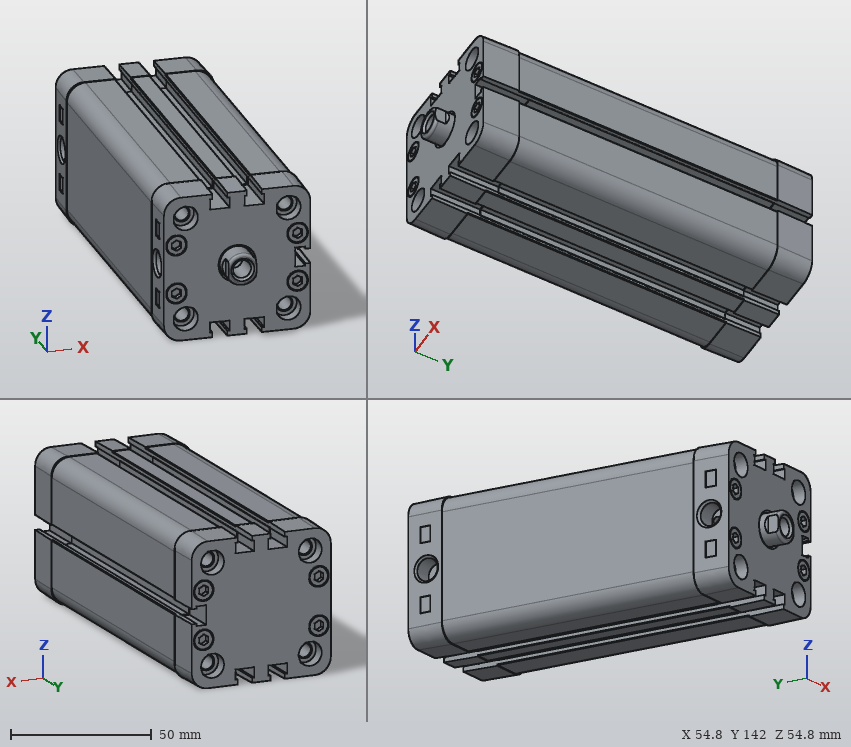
import cadquery as cq
import math

housing_length = 135.0
rod_reach = 7.0
front_cap_length = 14.6
rear_cap_length = 14.3

cap_joint_width = 54.8
cap_end_width = 54.2
cap_end_corner_radius = 6.2
body_width = 54.2
body_corner_radius = 6.8

slot_offset = 6.4
slot_mouth_width = 5.5
slot_neck_level = 25.3
body_slot_width = 6.4
body_slot_floor = 21.9
cap_slot_width = 7.2
cap_slot_floor = 21.5
front_slot_length = 20.2
body_lip_chamfer = 0.3

mount_offset = 19.0
mount_hole_diameter = 5.3
mount_bore_diameter = 9.0
mount_bore_depth = 5.0
mount_seat_diameter = 6.0
mount_seat_depth = 0.4

screw_x = 22.5
screw_z = 9.1
screw_recess_diameter = 7.7
screw_head_diameter = 7.1
screw_gap_depth = 0.7
socket_corner_diameter = 4.0
socket_depth = 2.1
socket_turn = 30

port_to_joint = 6.7
port_mouth_diameter = 10.5
port_diameter = 8.5
port_depth = 8.5
air_hole_diameter = 3.0
air_hole_to_joint = 4.5
air_hole_depth = 5.7

label_to_joint = 7.1
label_z = 13.0
label_length = 4.3
label_height = 6.0
label_floor = 26.8

rod_diameter = 12.0
rod_edge_radius = 1.1
rod_flat_width = 10.2
rod_shoulder_length = 2.7
guide_bore_diameter = 12.5
guide_mouth_diameter = 13.9
guide_depth = 4.3
thread_mouth_diameter = 8.5
thread_diameter = 6.7
thread_depth = 11.4
thread_tip_angle = 118

body_length = housing_length - front_cap_length - rear_cap_length
draft = (cap_joint_width - cap_end_width) / 2
rod_end = -rod_reach


def square_prism(width, radius, start, length, taper=0):
    """Rounded square prism along +Y; a negative taper widens it."""
    plane = cq.Workplane("XZ", origin=(0, start, 0))
    sketch = cq.Sketch().rect(width, width).vertices().fillet(radius)
    return plane.placeSketch(sketch).extrude(-length, taper=taper)


def disc(diameter, start, length, x=0, z=0):
    """Cylinder parallel to Y."""
    return cq.Workplane("XZ", origin=(x, start, z)).circle(diameter / 2).extrude(-length)


def turned(profile):
    """Solid of revolution about Y from (radius, y) points."""
    return cq.Workplane("XY").polyline(profile).close().revolve(360, (0, 0, 0), (0, 1, 0))


def cone(start_diameter, end_diameter, length):
    """Cone frustum along +Y from the origin."""
    profile = [(0, 0), (start_diameter / 2, 0), (end_diameter / 2, length), (0, length)]
    return turned(profile)


def cap(length):
    """End cap with its outer face at y = 0, widening towards the joint."""
    taper = -math.degrees(math.atan2(draft, length))
    return square_prism(cap_end_width, cap_end_corner_radius, 0, length, taper)


def to_rear(shape):
    """Turn a front-end feature into the matching rear-end feature."""
    return shape.mirror("XZ").translate((0, housing_length, 0))


def slot(width, floor, start, length):
    """T-slot opening upwards, centred on x = 0."""
    outer = cap_joint_width
    half = width / 2
    mouth = slot_mouth_width / 2
    points = [
        (-half, floor),
        (half, floor),
        (half, slot_neck_level),
        (mouth, slot_neck_level),
        (mouth, outer),
        (-mouth, outer),
        (-mouth, slot_neck_level),
        (-half, slot_neck_level),
    ]
    return cq.Workplane("XZ", origin=(0, start, 0)).polyline(points).close().extrude(-length)


def lip_chamfers():
    """Wedge that bevels both lips of a slot along the body."""
    level = body_width / 2
    mouth = slot_mouth_width / 2
    points = [
        (-mouth, level - body_lip_chamfer),
        (mouth, level - body_lip_chamfer),
        (mouth + body_lip_chamfer, level),
        (-mouth - body_lip_chamfer, level),
    ]
    plane = cq.Workplane("XZ", origin=(0, front_cap_length, 0))
    return plane.polyline(points).close().extrude(-body_length)


def stepped_slot():
    """Full-length T-slot, enlarged at both ends."""
    narrow = slot(body_slot_width, body_slot_floor, 0, housing_length)
    front = slot(cap_slot_width, cap_slot_floor, 0, front_slot_length)
    rear = slot(cap_slot_width, cap_slot_floor, housing_length - rear_cap_length, rear_cap_length)
    return narrow.union(front).union(rear).union(lip_chamfers())


def end_holes():
    """Mounting holes and screw recesses of one cap."""
    seat = cone(mount_seat_diameter, mount_hole_diameter, mount_seat_depth)
    cuts = cq.Workplane("XY")
    for x_side in (-1, 1):
        for z_side in (-1, 1):
            x, z = x_side * mount_offset, z_side * mount_offset
            cuts = cuts.add(disc(mount_bore_diameter, 0, mount_bore_depth, x, z))
            cuts = cuts.add(seat.translate((x, mount_bore_depth, z)))
            x, z = x_side * screw_x, z_side * screw_z
            gap = disc(screw_recess_diameter, 0, screw_gap_depth, x, z)
            gap = gap.cut(disc(screw_head_diameter, 0, screw_gap_depth, x, z))
            socket = cq.Workplane("XZ").polygon(6, socket_corner_diameter).extrude(-socket_depth)
            socket = socket.rotate((0, 0, 0), (0, 1, 0), socket_turn).translate((x, 0, z))
            cuts = cuts.add(gap).add(socket)
    return cuts.combine()


def port(cap_length):
    """Supply port of one cap."""
    side = -cap_joint_width / 2
    profile = [
        (side, 0),
        (side, port_mouth_diameter / 2),
        (side + (port_mouth_diameter - port_diameter) / 2, port_diameter / 2),
        (side + port_depth, port_diameter / 2),
        (side + port_depth, 0),
    ]
    bore = cq.Workplane("XY").polyline(profile).close().revolve(360, (0, 0, 0), (1, 0, 0))
    air_hole = cq.Workplane("YZ", origin=(side, cap_length - air_hole_to_joint, 0))
    air_hole = air_hole.circle(air_hole_diameter / 2).extrude(port_depth + air_hole_depth)
    return bore.translate((0, cap_length - port_to_joint, 0)).union(air_hole)


def labels(cap_length):
    """Shallow label recesses of one cap."""
    plane = cq.Workplane("YZ", origin=(-label_floor, cap_length - label_to_joint, 0))
    plane = plane.pushPoints([(0, -label_z), (0, label_z)])
    return plane.rect(label_length, label_height).extrude(label_floor - cap_joint_width / 2)


def rod():
    """Piston rod end with wrench flats, and the hole to cut into it."""
    length = rod_reach + guide_depth
    bar = disc(rod_diameter, rod_end, length).faces("<Y").edges().fillet(rod_edge_radius)
    flat = rod_flat_width / 2
    runout = rod_diameter / 2 - flat
    shoulder = -rod_shoulder_length
    wedge = [
        (flat, rod_end),
        (flat, shoulder),
        (flat + 2 * runout, shoulder + 2 * runout),
        (flat + 2 * runout, rod_end),
    ]
    flat_cut = cq.Workplane("XY").polyline(wedge).close().extrude(rod_diameter / 2, both=True)
    bar = bar.cut(flat_cut).cut(flat_cut.mirror("YZ"))
    mouth_depth = (thread_mouth_diameter - thread_diameter) / 2
    tip = thread_diameter / 2 / math.tan(math.radians(thread_tip_angle / 2))
    hole_profile = [
        (0, 0),
        (thread_mouth_diameter / 2, 0),
        (thread_diameter / 2, mouth_depth),
        (thread_diameter / 2, thread_depth),
        (0, thread_depth + tip),
    ]
    return bar, turned(hole_profile).translate((0, rod_end, 0))


housing = square_prism(body_width, body_corner_radius, front_cap_length, body_length)
housing = housing.union(cap(front_cap_length)).union(to_rear(cap(rear_cap_length)))

t_slot = stepped_slot()
for offset in (-slot_offset, slot_offset):
    top_slot = t_slot.translate((offset, 0, 0))
    housing = housing.cut(top_slot).cut(top_slot.mirror("XY"))
housing = housing.cut(t_slot.rotate((0, 0, 0), (0, 1, 0), 90))

for make_feature in (port, labels):
    housing = housing.cut(make_feature(front_cap_length))
    housing = housing.cut(to_rear(make_feature(rear_cap_length)))
front_holes = end_holes()
housing = housing.cut(front_holes).cut(to_rear(front_holes))
for x in (-mount_offset, mount_offset):
    for z in (-mount_offset, mount_offset):
        housing = housing.cut(disc(mount_hole_diameter, 0, housing_length, x, z))

guide_chamfer = (guide_mouth_diameter - guide_bore_diameter) / 2
housing = housing.cut(disc(guide_bore_diameter, 0, guide_depth))
housing = housing.cut(cone(guide_mouth_diameter, guide_bore_diameter, guide_chamfer))

bar, thread_hole = rod()
result = housing.union(bar).cut(thread_hole)